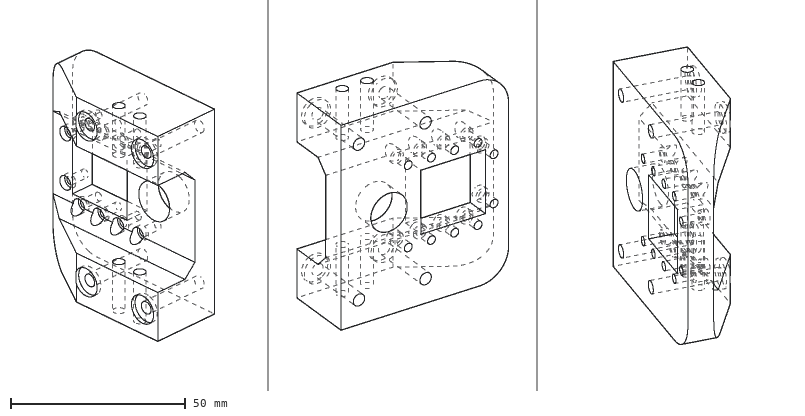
import cadquery as cq

length = 57.5
depth = 23.0
height = 67.0
corner_radius = 10.0

web_thickness = 8.0
slope_length = 24.5

channel_height = 35.0
gusset = 4.0
floor_height = channel_height - 2 * gusset

window_start = 8.0
window_length = 22.1
window_height = 20.9
bore_x = 41.0
bore_diameter = 12.45

mount_xs = (28.5, 51.3)
mount_z = 25.45
mount_diameter = 3.9
mount_head_diameter = 9.0
mount_head_depth = 1.5

screw_diameter = 2.7
screw_head_diameter = 4.5
screw_head_depth = 2.0
row_start = 10.5
row_pitch = 8.0
row_count = 4
row_z = floor_height / 2
end_screw_x = 5.0
end_screw_z = 8.05

cross_xs = (36.7, 45.2)
cross_setback = 5.0
cross_diameter = 3.6

front_y = -depth
floor_y = -web_thickness


def block():
    """Plate profile seen along Z, extruded over the height, with rounded left corners."""
    profile = [
        (0, 0),
        (length, 0),
        (length, front_y),
        (slope_length, front_y),
        (0, floor_y),
    ]
    body = cq.Workplane("XY").polyline(profile).close().extrude(height / 2, both=True)
    return body.edges("|Y and <X").fillet(corner_radius)


def channel():
    """Full-length channel that leaves the two arms and their gussets."""
    half_channel = channel_height / 2
    half_floor = floor_height / 2
    profile = [
        (front_y, -half_channel),
        (floor_y - gusset, -half_channel),
        (floor_y, -half_floor),
        (floor_y, half_floor),
        (floor_y - gusset, half_channel),
        (front_y, half_channel),
    ]
    return cq.Workplane("YZ").polyline(profile).close().extrude(length)


def cylinder_along_y(x, z, diameter, start_y, end_y):
    """Cylinder parallel to Y between two Y positions."""
    plane = cq.Workplane("XZ", origin=(x, start_y, z))
    return plane.circle(diameter / 2).extrude(start_y - end_y)


def counterbored_hole(x, z, diameter, head_diameter, seat_y):
    """Through hole with a screw head recess open to the front of its seat."""
    hole = cylinder_along_y(x, z, diameter, 0, front_y)
    return hole.union(cylinder_along_y(x, z, head_diameter, seat_y, front_y))


def web_openings():
    """Rectangular window and round bore through the web."""
    window = cq.Workplane("XY").box(
        window_length, depth, window_height, centered=(False, False, True)
    ).translate((window_start, front_y, 0))
    return window.union(cylinder_along_y(bore_x, 0, bore_diameter, 0, front_y))


def cross_hole(x):
    """Vertical hole through both arms."""
    plane = cq.Workplane("XY", origin=(x, front_y + cross_setback, 0))
    return plane.circle(cross_diameter / 2).extrude(height / 2, both=True)


result = block().cut(channel()).cut(web_openings())

for x in cross_xs:
    result = result.cut(cross_hole(x))

mount_seat_y = front_y + mount_head_depth
screw_seat_y = floor_y + screw_head_depth
row_xs = [row_start + i * row_pitch for i in range(row_count)]

for side in (-1, 1):
    for x in mount_xs:
        result = result.cut(
            counterbored_hole(x, side * mount_z, mount_diameter, mount_head_diameter, mount_seat_y)
        )
    screw_places = [(x, side * row_z) for x in row_xs] + [(end_screw_x, side * end_screw_z)]
    for x, z in screw_places:
        result = result.cut(
            counterbored_hole(x, z, screw_diameter, screw_head_diameter, screw_seat_y)
        )